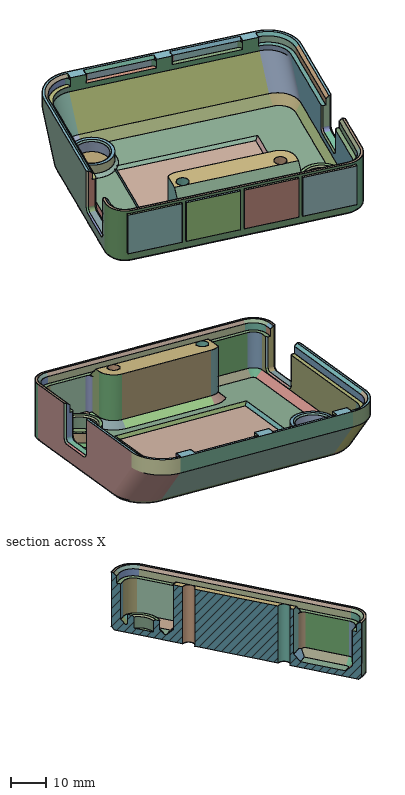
import cadquery as cq
import math

body_width = 67.0
body_length = 77.0
body_height = 18.3
left_corner_radius = 10.0
right_corner_radius = 6.0
rim_height = 4.85
slope_top = body_height - rim_height
bottom_chamfer = 1.0
left_slope_run = 10.2
wall = 3.0
floor = 2.0
floor_chamfer = 2.0
cavity_slope_run = 7.9
floor_left_x = 14.3

ledge_inset = 1.7
ledge_z = body_height - 3.1
rim_flat = 0.8
rim_chamfer_depth = 0.85
tab_width = 4.8
tab_pitch = 25.8
tab_corner_radius = 1.0

window_chamfer = 0.5
window_corner_radius = 1.1
front_window_x = (45.8, 58.7)
front_window_sill = 4.6
back_window_x = (35.3, 46.35)
back_window_sill = 6.5

ring_centres = [(21.95, 10.0), (55.0, 67.0)]
ring_diameter = 13.0
ring_bore = 10.2
ring_top = 6.0
ring_base_chamfer = 1.0
ring_bore_chamfer = 0.5

recess_x = (25.7, 49.9)
recess_y = (15.0, 58.3)
recess_depth = 0.9

hole_diameter = 3.6
hole_x = 59.1
hole_y = (23.95, 53.2)
block_radius = 4.8
block_end_y = 20.9
block_fillet = 1.5
block_base_chamfer = 2.0
block_root = 0.8

panel_height = 0.6
panel_count = 4
panel_y = (4.6, 73.15)
panel_z = (3.7, 17.4)
panel_gap = 1.15
panel_root = 0.8

OVERCUT = 0.8


def outline(z, left_x, inset):
    """Rounded rectangle at height z: inset from the outer walls, with its left side at left_x."""
    left_r = left_corner_radius - inset
    right_r = right_corner_radius - inset
    right_x = body_width - inset
    low_y = inset
    high_y = body_length - inset
    diagonal = 1 - math.sqrt(0.5)
    return (
        cq.Workplane("XY", origin=(0, 0, z))
        .moveTo(left_x + left_r, low_y)
        .lineTo(right_x - right_r, low_y)
        .threePointArc(
            (right_x - right_r * diagonal, low_y + right_r * diagonal),
            (right_x, low_y + right_r),
        )
        .lineTo(right_x, high_y - right_r)
        .threePointArc(
            (right_x - right_r * diagonal, high_y - right_r * diagonal),
            (right_x - right_r, high_y),
        )
        .lineTo(left_x + left_r, high_y)
        .threePointArc(
            (left_x + left_r * diagonal, high_y - left_r * diagonal),
            (left_x, high_y - left_r),
        )
        .lineTo(left_x, low_y + left_r)
        .threePointArc(
            (left_x + left_r * diagonal, low_y + left_r * diagonal),
            (left_x + left_r, low_y),
        )
        .close()
    )


def ruled(lower, upper):
    """Straight-sided solid between two outlines."""
    return cq.Workplane(cq.Solid.makeLoft([lower.wire().val(), upper.wire().val()], True))


def box(x, y, z):
    """Box spanning the given (low, high) ranges."""
    sides = (x[1] - x[0], y[1] - y[0], z[1] - z[0])
    return cq.Workplane("XY", origin=(x[0], y[0], z[0])).box(*sides, centered=False)


def make_body():
    base = outline(0, left_slope_run + bottom_chamfer, bottom_chamfer)
    chamfer_top = outline(bottom_chamfer, left_slope_run, 0)
    rim_start = outline(slope_top, 0, 0)
    return (
        outline(slope_top, 0, 0).extrude(rim_height)
        .union(ruled(chamfer_top, rim_start))
        .union(ruled(base, chamfer_top))
    )


def make_cavity():
    bottom = outline(floor, floor_left_x, wall + floor_chamfer)
    chamfer_top = outline(floor + floor_chamfer, wall + cavity_slope_run, wall)
    rim_start = outline(slope_top, wall, wall)
    return (
        outline(slope_top, wall, wall).extrude(rim_height + OVERCUT)
        .union(ruled(chamfer_top, rim_start))
        .union(ruled(bottom, chamfer_top))
    )


def make_ledge_cut():
    """Stepped and chamfered groove inside the rim, left uncut at three tabs on the left wall."""
    tabs = cq.Workplane("XY")
    for step in (-1, 0, 1):
        middle = body_length / 2 + step * tab_pitch
        tab_y = (middle - tab_width / 2, middle + tab_width / 2)
        tabs = tabs.union(box((0, wall), tab_y, (0, body_height + OVERCUT)))
    step_cut = outline(ledge_z, ledge_inset, ledge_inset).extrude(body_height - ledge_z).cut(tabs)
    slot_corners = cq.selectors.BoxSelector(
        (0, left_corner_radius, 0),
        ((ledge_inset + wall) / 2, body_length - left_corner_radius, body_height),
    )
    step_cut = step_cut.edges("|Z").edges(slot_corners).fillet(tab_corner_radius)
    chamfer_cut = ruled(
        outline(body_height - rim_chamfer_depth, ledge_inset, ledge_inset),
        outline(body_height, rim_flat, rim_flat),
    ).cut(tabs)
    return step_cut.union(chamfer_cut)


def make_window_cut(x, sill, wall_start):
    """Round-cornered window through the wall at wall_start, chamfered on both faces of that wall."""
    opening_top = body_height + window_corner_radius + OVERCUT
    wall_end = wall_start + wall

    def profile(y, grow):
        low_z = sill - grow
        return (
            cq.Workplane("XZ", origin=((x[0] + x[1]) / 2, y, (low_z + opening_top) / 2))
            .placeSketch(
                cq.Sketch()
                .rect(x[1] - x[0] + 2 * grow, opening_top - low_z)
                .vertices()
                .fillet(window_corner_radius + grow)
            )
        )

    return (
        profile(wall_end, 0).extrude(wall)
        .union(profile(wall_start, window_chamfer).extrude(-window_chamfer, taper=45))
        .union(profile(wall_end, window_chamfer).extrude(window_chamfer, taper=45))
    )


def make_ring(centre):
    """Raised ring with a chamfered foot and a chamfered bore."""
    base_radius = ring_diameter / 2 + ring_base_chamfer
    bore_radius = ring_bore / 2
    return (
        cq.Workplane("XZ")
        .moveTo(bore_radius, floor - OVERCUT)
        .lineTo(base_radius, floor - OVERCUT)
        .lineTo(base_radius, floor)
        .lineTo(ring_diameter / 2, floor + ring_base_chamfer)
        .lineTo(ring_diameter / 2, ring_top)
        .lineTo(bore_radius + ring_bore_chamfer, ring_top)
        .lineTo(bore_radius, ring_top - ring_bore_chamfer)
        .close()
        .revolve(360, (0, 0, 0), (0, 1, 0))
        .translate((centre[0], centre[1], 0))
    )


def make_recess_cut():
    centre = ((recess_x[0] + recess_x[1]) / 2, (recess_y[0] + recess_y[1]) / 2, floor)
    return (
        cq.Workplane("XY", origin=centre)
        .rect(recess_x[1] - recess_x[0], recess_y[1] - recess_y[0])
        .extrude(-recess_depth, taper=45)
    )


def block_footprint(z, grow, wall_x):
    """Outline of the screw block grown outwards: rounded about both holes, with a flat front end."""
    radius = block_radius + grow
    end_y = block_end_y - grow
    end_angle = math.pi + math.asin((hole_y[0] - end_y) / radius)
    mid_angle = (math.pi + end_angle) / 2
    diagonal = radius * math.sqrt(0.5)
    return (
        cq.Workplane("XY", origin=(0, 0, z))
        .moveTo(wall_x, end_y)
        .lineTo(hole_x + radius * math.cos(end_angle), end_y)
        .threePointArc(
            (hole_x + radius * math.cos(mid_angle), hole_y[0] + radius * math.sin(mid_angle)),
            (hole_x - radius, hole_y[0]),
        )
        .lineTo(hole_x - radius, hole_y[1])
        .threePointArc((hole_x - diagonal, hole_y[1] + diagonal), (hole_x, hole_y[1] + radius))
        .lineTo(wall_x, hole_y[1] + radius)
        .close()
    )


def make_wall_fillet(end_y, direction):
    """Concave upright fillet between one end of the screw block and the right wall."""
    wall_x = body_width - wall
    diagonal = block_fillet * (1 - math.sqrt(0.5))
    return (
        cq.Workplane("XY", origin=(0, 0, floor))
        .moveTo(wall_x, end_y)
        .lineTo(wall_x - block_fillet, end_y)
        .threePointArc(
            (wall_x - diagonal, end_y + direction * diagonal),
            (wall_x, end_y + direction * block_fillet),
        )
        .close()
        .extrude(ledge_z - floor)
    )


def make_block():
    """Screw block with a chamfered foot and a 45 degree slope from its top down to the ledge."""
    root_x = body_width - wall + block_root
    column = block_footprint(floor, 0, root_x).extrude(body_height - floor)
    foot = ruled(
        block_footprint(floor, block_base_chamfer, root_x),
        block_footprint(floor + block_base_chamfer, 0, root_x),
    )
    slope_run = body_height - ledge_z
    slope_cut = (
        cq.Workplane("XZ")
        .moveTo(body_width - wall - slope_run, body_height)
        .lineTo(body_width - wall, ledge_z)
        .lineTo(body_width, ledge_z)
        .lineTo(body_width, body_height)
        .close()
        .extrude(-body_length)
    )
    return (
        column.union(foot).cut(slope_cut)
        .union(make_wall_fillet(block_end_y, -1))
        .union(make_wall_fillet(hole_y[1] + block_radius, 1))
    )


def make_hole_cut():
    return (
        cq.Workplane("XY", origin=(0, 0, -OVERCUT))
        .pushPoints([(hole_x, y) for y in hole_y])
        .circle(hole_diameter / 2)
        .extrude(body_height + 2 * OVERCUT)
    )


def make_panels():
    length = (panel_y[1] - panel_y[0] - (panel_count - 1) * panel_gap) / panel_count
    panel_x = (body_width - panel_root, body_width + panel_height)
    panels = cq.Workplane("XY")
    for index in range(panel_count):
        start = panel_y[0] + index * (length + panel_gap)
        panels = panels.union(box(panel_x, (start, start + length), panel_z))
    return panels


result = make_body().cut(make_cavity()).cut(make_ledge_cut())
for ring_centre in ring_centres:
    result = result.union(make_ring(ring_centre))
result = result.cut(make_recess_cut()).union(make_block()).cut(make_hole_cut())
result = result.cut(make_window_cut(front_window_x, front_window_sill, 0))
result = result.cut(make_window_cut(back_window_x, back_window_sill, body_length - wall))
result = result.union(make_panels())